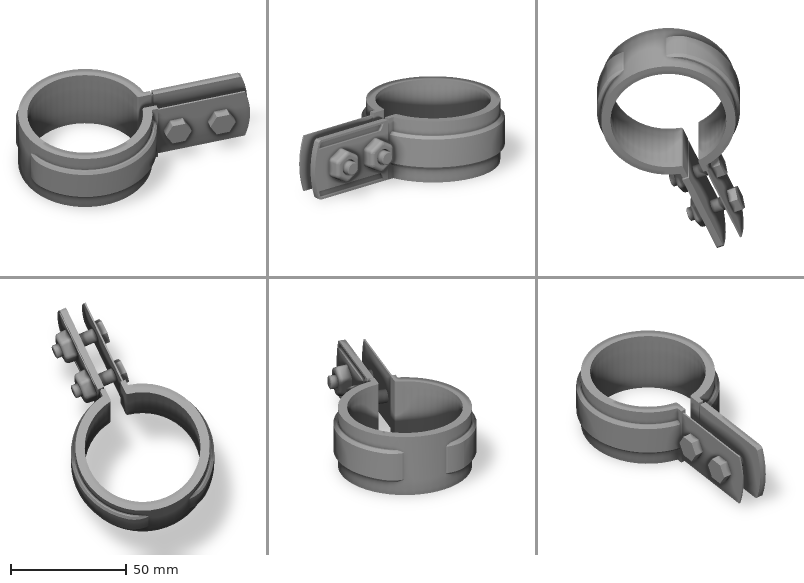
import cadquery as cq
import math


overall_length = 103.5

bore_radius = 25.0
ring_radius = 29.1
ring_height = 28.0
lug_inner_x = 3.6
lug_width = 2.4
lug_outer_x = lug_inner_x + lug_width
lug_end_y = 31.2
lug_fillet = 1.0

pad_radius = 31.1
pad_height = 15.3
pad_chamfer_radial = 1.0
pad_chamfer_axial = 1.2
pad_bend_x = 18.6
pad_tip_x = 10.5
pad_tip_y = -27.6
pad_notch_y = -25.9

strap_thickness = 0.7
strap_width = 25.4
strap_mid_x = 4.9
strap_outer_x = strap_mid_x + strap_thickness / 2
strap_inner_x = strap_mid_x - strap_thickness / 2
strap_mid_radius = (bore_radius + ring_radius) / 2

plate_thickness = 3.0
plate_width = 27.3
plate_start_y = 32.1
plate_end_y = overall_length - ring_radius
plate_end_radius = 37.7
plate_chamfer = 0.8
plate_outer_x = lug_inner_x + plate_thickness
strap_end_inset = 1.3

pocket_inner_z = 9.6
pocket_outer_z = strap_width / 2
pocket_end_inset = 1.0
pocket_inner_y = 36.6
pocket_outer_y = 34.8
pocket_arc_radius = 6.2

first_bolt_y = 39.6
bolt_pitch = 20.0
bolt_ys = [first_bolt_y, first_bolt_y + bolt_pitch]
bolt_diameter = 6.0
bolt_tip_diameter = 5.0
bolt_tip_length = 0.3
bolt_tip_x = -14.9
head_corner_diameter = 11.5
head_height = 3.9
nut_height = 5.4
nut_flats = 13.1
nut_hole_diameter = 7.0
nut_draft = 4.0
nut_corner_radius = 1.9
nut_edge_fillet = 1.7


def prism_z(outline, height):
    """Extrude a closed XY outline symmetrically about Z = 0."""
    return outline.extrude(height / 2, both=True)


def disc(radius, height):
    return prism_z(cq.Workplane("XY").circle(radius), height)


def block(x_min, x_max, y_min, y_max, height):
    return cq.Workplane("XY").box(
        x_max - x_min, y_max - y_min, height, centered=(False, False, True)
    ).translate((x_min, y_min, 0))


def pad_outline(z):
    """Circle whose two ends bend in toward the ring and leave its front free."""
    bend_y = -math.sqrt(pad_radius**2 - pad_bend_x**2)
    return (
        cq.Workplane("XY", origin=(0, 0, z))
        .moveTo(0, pad_radius)
        .threePointArc((pad_radius, 0), (pad_bend_x, bend_y))
        .tangentArcPoint((pad_tip_x, pad_tip_y), relative=False)
        .lineTo(0, pad_notch_y)
        .mirrorY()
    )


def make_pads():
    """Both pads in one piece, chamfered along their upper and lower edges."""
    core_height = pad_height - 2 * pad_chamfer_axial
    taper = math.degrees(math.atan(pad_chamfer_radial / pad_chamfer_axial))
    pads = prism_z(pad_outline(0), core_height)
    upper_chamfer = pad_outline(core_height / 2).extrude(pad_chamfer_axial, taper=taper)
    return pads.union(upper_chamfer).union(upper_chamfer.mirror("XY"))


def make_strap():
    """Thin band around the ring that turns into two parallel legs with curved ends."""
    leg_start_y = math.sqrt(strap_mid_radius**2 - strap_mid_x**2)
    leg_end_y = plate_end_y - strap_end_inset
    half_thickness = strap_thickness / 2
    band = disc(strap_mid_radius + half_thickness, strap_width).cut(
        disc(strap_mid_radius - half_thickness, strap_width)
    )
    strap = band.cut(block(-strap_mid_x, strap_mid_x, 0, ring_radius, strap_width))
    for x_min in (-strap_outer_x, strap_inner_x):
        leg = block(x_min, x_min + strap_thickness, leg_start_y, leg_end_y, strap_width)
        strap = strap.union(leg)
    strap = strap.intersect(end_limit(strap_end_inset))
    for bolt_y in bolt_ys:
        strap = strap.cut(cylinder_x(bolt_diameter, bolt_y, -strap_outer_x, strap_outer_x))
    return strap


def end_limit(inset):
    """Space below the curved plate end moved in by the inset, across the whole clamp."""
    radius = plate_end_radius - inset
    centre_y = plate_end_y - plate_end_radius
    rounded = (
        cq.Workplane("YZ")
        .center(centre_y, 0)
        .circle(radius)
        .extrude(pad_radius, both=True)
    )
    return rounded.union(block(-pad_radius, pad_radius, -pad_radius, centre_y, 2 * radius))


def cylinder_x(diameter, y, x_min, x_max):
    """Cylinder along X, centred on Z = 0."""
    return (
        cq.Workplane("YZ", origin=(x_min, y, 0))
        .circle(diameter / 2)
        .extrude(x_max - x_min)
    )


def make_ring(strap):
    """Split ring with end lugs and pads, moulded around the strap."""
    ring = disc(ring_radius, ring_height)
    pads = make_pads().cut(block(-lug_outer_x, lug_outer_x, 0, pad_radius, pad_height))
    lugs = block(-lug_outer_x, lug_outer_x, 0, lug_end_y, ring_height)
    ring = ring.union(pads).union(lugs).cut(disc(bore_radius, ring_height))
    ring = ring.cut(block(-lug_inner_x, lug_inner_x, 0, lug_end_y, ring_height))
    bore_corner_y = math.sqrt(bore_radius**2 - lug_inner_x**2)
    for x in (-lug_inner_x, lug_inner_x):
        corner = cq.selectors.NearestToPointSelector((x, bore_corner_y, 0))
        ring = ring.edges("|Z").edges(corner).fillet(lug_fillet)
    return ring.cut(strap)


def make_pocket():
    """Long pocket along the upper edge of the plate, reaching down to the strap."""
    outline = (
        cq.Workplane("YZ", origin=(-plate_outer_x, 0, 0))
        .moveTo(plate_end_y, pocket_inner_z)
        .lineTo(pocket_inner_y, pocket_inner_z)
        .radiusArc((pocket_outer_y, pocket_outer_z), pocket_arc_radius)
        .lineTo(plate_end_y, pocket_outer_z)
        .close()
    )
    pocket = outline.extrude(plate_outer_x - strap_outer_x)
    return pocket.intersect(end_limit(pocket_end_inset))


def make_plate(strap):
    """Cover plate with a curved end, moulded around the left leg of the strap."""
    plate = block(-plate_outer_x, -lug_inner_x, plate_start_y, plate_end_y, plate_width)
    plate = plate.intersect(end_limit(0))
    for z_side in (">Z", "<Z"):
        plate = plate.faces(z_side).edges("|X and >Y").chamfer(plate_chamfer)
    pocket = make_pocket()
    plate = plate.cut(pocket).cut(pocket.mirror("XY"))
    for bolt_y in bolt_ys:
        plate = plate.cut(cylinder_x(bolt_diameter, bolt_y, -plate_outer_x, -lug_inner_x))
    return plate.cut(strap)


def make_bolt(bolt_y):
    """Hexagon bolt with a chamfered tip; its head rests on the right leg of the strap."""
    head = (
        cq.Workplane("YZ", origin=(strap_outer_x, bolt_y, 0))
        .polygon(6, head_corner_diameter)
        .extrude(head_height)
    )
    shank = cylinder_x(bolt_diameter, bolt_y, bolt_tip_x, strap_outer_x)
    tip_reduction = (bolt_diameter - bolt_tip_diameter) / 2
    shank = shank.faces("<X").chamfer(bolt_tip_length, tip_reduction)
    return head.union(shank)


def make_nut(bolt_y):
    """Drafted hexagon nut with rounded edges, seated on the plate."""
    nut = (
        cq.Workplane("ZY", origin=(-plate_outer_x, bolt_y, 0))
        .polygon(6, nut_flats / math.cos(math.radians(30)))
        .extrude(nut_height, taper=nut_draft)
    )
    nut = nut.edges("not(#X)").fillet(nut_corner_radius)
    nut = nut.faces("<X").edges().fillet(nut_edge_fillet)
    hole = cylinder_x(nut_hole_diameter, bolt_y, -plate_outer_x - nut_height, -plate_outer_x)
    return nut.cut(hole)


strap = make_strap()
ring = make_ring(strap)
plate = make_plate(strap)
bolts = [make_bolt(bolt_y) for bolt_y in bolt_ys]
nuts = [make_nut(bolt_y) for bolt_y in bolt_ys]

result = cq.Compound.makeCompound(
    [body.solids().val() for body in [ring, strap, plate, *bolts, *nuts]]
)